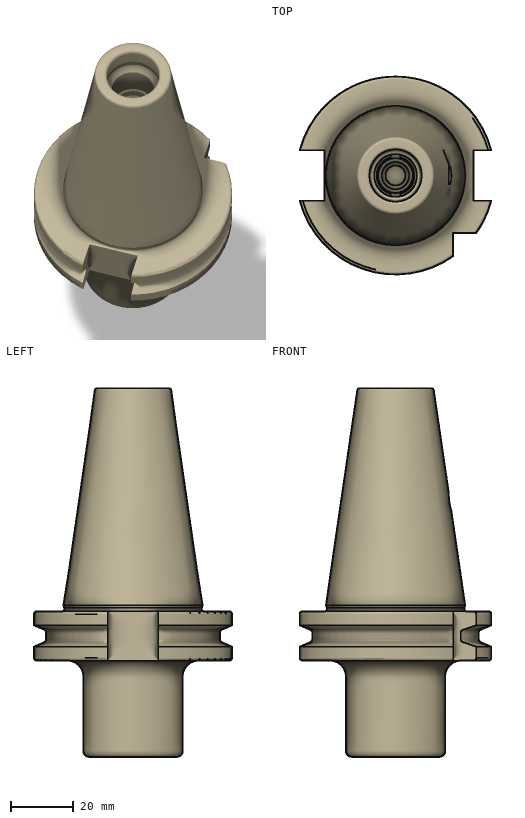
import cadquery as cq

total_height = 118.4
flange_bottom = 30.9
flange_top = 46.8

taper_slope = 7 / 24 / 2
taper_base = 48.7
taper_base_radius = 22.4
shank_end_radius = taper_base_radius - (total_height - taper_base) * taper_slope
edge_fillet = 1.0

relief_radius = 22.1
relief_top = 48.0
relief_fillet = 0.5

flange_diameter = 63.6
flange_radius = flange_diameter / 2
groove_floor_radius = 28.0
groove_height = 38.8
groove_mouth = 6.9
groove_floor = 3.5
groove_fillet = 1.0

nose_radius = 16.0
nose_root_fillet = 5.0
nose_end_fillet = 2.0

slot_width = 16.1
left_slot_floor = 22.9
right_slot_floor = 25.1
notch_offset = 18.5

mouth_radius = 8.4
mouth_fillet = 1.0
bore_radius = 6.9
mouth_depth = 6.2
undercut_radius = 8.8
undercut_start = 7.1
undercut_end = 8.3
bore_start = 9.8
bore_depth = 20.0

seat_radius = 6.0
seat_floor_radius = 5.6
seat_depth = 1.8
socket_radius = 4.4
socket_floor_radius = 3.2
socket_depth = 1.2
key_slot_width = 3.2
key_slot_depth = 1.5

recess_radius = 2.8
recess_height = 81.7
recess_floor = 16.8

match_tolerance = 0.001


def revolve_outline(points):
    """Solid of revolution about Z from (radius, height) points that start and end on the axis."""
    return cq.Workplane("XZ").polyline(points).close().revolve(360, (0, 0, 0), (0, 1, 0))


def round_edge(part, radius, height, fillet):
    """Fillet the full circular edge that has the given radius and height."""

    def matches(edge):
        if edge.geomType() != "CIRCLE":
            return False
        same_height = abs(edge.Center().z - height) < match_tolerance
        same_radius = abs(edge.radius() - radius) < match_tolerance
        return same_height and same_radius

    return part.newObject([edge for edge in part.edges().vals() if matches(edge)]).fillet(fillet)


def body():
    mouth_bottom = groove_height - groove_mouth / 2
    mouth_top = groove_height + groove_mouth / 2
    floor_bottom = groove_height - groove_floor / 2
    floor_top = groove_height + groove_floor / 2
    part = revolve_outline([
        (0, 0),
        (nose_radius, 0),
        (nose_radius, flange_bottom),
        (flange_radius, flange_bottom),
        (flange_radius, mouth_bottom),
        (groove_floor_radius, floor_bottom),
        (groove_floor_radius, floor_top),
        (flange_radius, mouth_top),
        (flange_radius, flange_top),
        (relief_radius, flange_top),
        (relief_radius, relief_top),
        (taper_base_radius, taper_base),
        (shank_end_radius, total_height),
        (0, total_height),
    ])
    rounded_edges = [
        (nose_radius, 0, nose_end_fillet),
        (nose_radius, flange_bottom, nose_root_fillet),
        (flange_radius, flange_bottom, edge_fillet),
        (groove_floor_radius, floor_bottom, groove_fillet),
        (groove_floor_radius, floor_top, groove_fillet),
        (flange_radius, flange_top, edge_fillet),
        (relief_radius, flange_top, relief_fillet),
        (shank_end_radius, total_height, edge_fillet),
    ]
    for radius, height, fillet in rounded_edges:
        part = round_edge(part, radius, height, fillet)
    return part


def flange_block(x_min, x_max, y_min, y_max):
    """Rectangular cutter over the full height of the flange."""
    size = (x_max - x_min, y_max - y_min, flange_top - flange_bottom)
    return cq.Workplane("XY").box(*size, centered=False).translate((x_min, y_min, flange_bottom))


def flange_cuts():
    half_slot = slot_width / 2
    left = flange_block(-flange_radius, -left_slot_floor, -half_slot, half_slot)
    right = flange_block(right_slot_floor, flange_radius, -half_slot, half_slot)
    notch = flange_block(notch_offset, flange_radius, -flange_radius, -notch_offset)
    return left.union(right).union(notch)


def bore():
    seat_bottom = bore_depth + seat_depth
    socket_bottom = seat_bottom + socket_depth
    profile = [
        (0, 0),
        (mouth_radius, 0),
        (mouth_radius, mouth_depth),
        (undercut_radius, undercut_start),
        (undercut_radius, undercut_end),
        (bore_radius, bore_start),
        (bore_radius, bore_depth),
        (seat_radius, bore_depth),
        (seat_floor_radius, seat_bottom),
        (socket_radius, seat_bottom),
        (socket_floor_radius, socket_bottom),
        (0, socket_bottom),
    ]
    return revolve_outline([(radius, total_height - depth) for radius, depth in profile])


def key_slots():
    """Slot across the bore ledge along Y, kept inside the bore radius."""
    ledge = cq.Workplane("XY", origin=(0, 0, total_height - bore_depth))
    disc = ledge.circle(bore_radius).extrude(-key_slot_depth)
    bar = ledge.rect(key_slot_width, 2 * bore_radius).extrude(-key_slot_depth)
    return bar.intersect(disc)


def side_recess():
    start = cq.Workplane("YZ", origin=(recess_floor, 0, recess_height))
    return start.circle(recess_radius).extrude(taper_base_radius - recess_floor)


part = body().cut(bore())
part = round_edge(part, mouth_radius, total_height, mouth_fillet)
result = part.cut(key_slots()).cut(side_recess()).cut(flange_cuts())